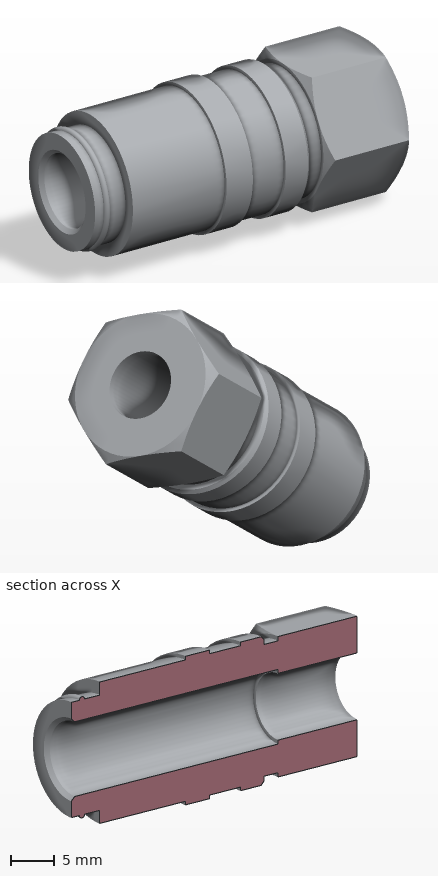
import cadquery as cq
import math

total_length = 41.5

spigot_diameter = 14.0
spigot_end = 4.1
ring_diameter = 14.7
ring_width = 0.85
ring_center = 1.58

sleeve_diameter = 17.15
collar_diameter = 18.0
front_collar_start = 16.5
front_collar_end = 20.1
rear_collar_start = 24.53
rear_collar_end = 27.97
collar_chamfer = 0.4

neck_diameter = 15.98
hex_start = 29.95
hex_corner_diameter = 19.65
hex_across_flats = hex_corner_diameter * math.cos(math.pi / 6)
hex_length = total_length - hex_start
hex_chamfer_angle = math.radians(30)

bore_diameter = 8.0
mouth_diameter = 8.95
mouth_chamfer = 0.5
mouth_depth = hex_start


def cylinder(diameter, start, end):
    """Solid cylinder on the Y axis between two axial positions."""
    return cq.Workplane("XZ", origin=(0, start, 0)).circle(diameter / 2).extrude(start - end)


def make_ring():
    """Ring whose rounded crown stands proud of the spigot."""
    root_radius = spigot_diameter / 2
    inner_radius = root_radius - ring_width / 2
    front = ring_center - ring_width / 2
    rear = ring_center + ring_width / 2
    profile = (
        cq.Workplane("XY")
        .moveTo(inner_radius, front)
        .lineTo(root_radius, front)
        .threePointArc((ring_diameter / 2, ring_center), (root_radius, rear))
        .lineTo(inner_radius, rear)
        .close()
    )
    return profile.revolve(360, (0, 0, 0), (0, 1, 0))


def make_hex():
    """Hexagonal nut with its corners turned down conically at both ends."""
    prism = (
        cq.Workplane("XZ", origin=(0, hex_start, 0))
        .polygon(6, hex_corner_diameter)
        .extrude(-hex_length)
    )
    chamfer_width = (hex_corner_diameter - hex_across_flats) / 2
    chamfer_height = chamfer_width * math.tan(hex_chamfer_angle)
    face_radius = hex_across_flats / 2
    corner_radius = hex_corner_diameter / 2
    envelope = (
        cq.Workplane("XY")
        .moveTo(0, hex_start)
        .lineTo(face_radius, hex_start)
        .lineTo(corner_radius, hex_start + chamfer_height)
        .lineTo(corner_radius, total_length - chamfer_height)
        .lineTo(face_radius, total_length)
        .lineTo(0, total_length)
        .close()
        .revolve(360, (0, 0, 0), (0, 1, 0))
    )
    return prism.intersect(envelope)


def make_bore():
    """Stepped through bore with a chamfered mouth."""
    mouth_radius = mouth_diameter / 2
    bore_radius = bore_diameter / 2
    profile = (
        cq.Workplane("XY")
        .lineTo(mouth_radius + mouth_chamfer, 0)
        .lineTo(mouth_radius, mouth_chamfer)
        .lineTo(mouth_radius, mouth_depth)
        .lineTo(bore_radius, mouth_depth)
        .lineTo(bore_radius, total_length)
        .lineTo(0, total_length)
        .close()
    )
    return profile.revolve(360, (0, 0, 0), (0, 1, 0))


spigot = cylinder(spigot_diameter, 0, spigot_end)
sleeve = cylinder(sleeve_diameter, spigot_end, rear_collar_start)
front_collar = cylinder(collar_diameter, front_collar_start, front_collar_end)
rear_collar = cylinder(collar_diameter, rear_collar_start, rear_collar_end)
rear_collar = rear_collar.faces(">Y").chamfer(collar_chamfer)
neck = cylinder(neck_diameter, rear_collar_end, hex_start)

body = spigot.union(make_ring())
for section in (sleeve, front_collar, rear_collar, neck, make_hex()):
    body = body.union(section)

result = body.cut(make_bore())